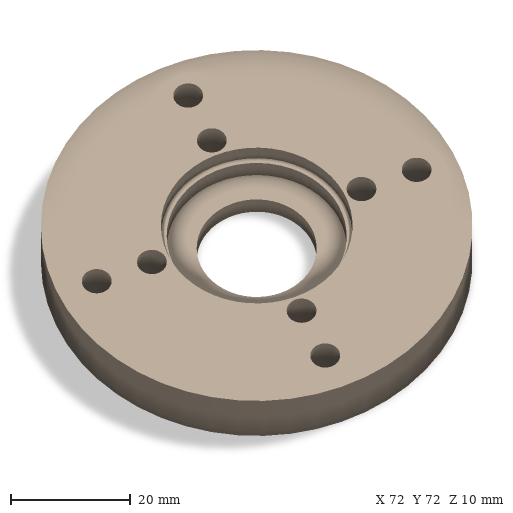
import cadquery as cq

disc_diameter = 72.0
disc_thickness = 10.0

upper_recess_diameter = 32.0
upper_recess_depth = 3.0
lower_recess_diameter = 30.0
lower_recess_depth = 6.5
bore_diameter = 20.0

bolt_hole_diameter = 5.0
inner_ring_radius = 19.0
outer_ring_radius = 29.0
holes_per_ring = 4


def recess(diameter, depth):
    """Round cutter reaching from the top face down to the given depth."""
    return cq.Workplane("XY").workplane(offset=disc_thickness - depth).circle(diameter / 2).extrude(depth)


def hole_ring(ring_radius):
    """Through-hole cutters evenly spaced on a circle, starting on the X axis."""
    return (
        cq.Workplane("XY")
        .polarArray(ring_radius, 0, 360, holes_per_ring)
        .circle(bolt_hole_diameter / 2)
        .extrude(disc_thickness)
    )


result = cq.Workplane("XY").circle(disc_diameter / 2).extrude(disc_thickness)

result = result.cut(recess(upper_recess_diameter, upper_recess_depth))
result = result.cut(recess(lower_recess_diameter, lower_recess_depth))
result = result.cut(recess(bore_diameter, disc_thickness))

for radius in (inner_ring_radius, outer_ring_radius):
    result = result.cut(hole_ring(radius))